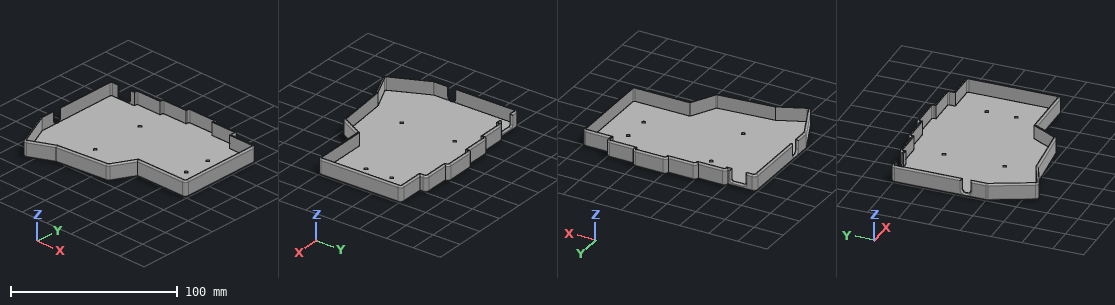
import cadquery as cq
import math

HEIGHT = 11.1
FLOOR = 2.0
WALL = 1.5
EDGE_RADIUS = 1.0

KEY_PITCH = 19.05
KEY_ROWS = 3
COLUMN_STEPS = [0, 1, 2, 3, 2, 0]
STAGGER = KEY_PITCH / 8
CASE_MARGIN = 2.505
CAVITY_MARGIN = CASE_MARGIN - WALL
BOARD_WIDTH = len(COLUMN_STEPS) * KEY_PITCH
BOARD_BACK = KEY_ROWS * KEY_PITCH

THUMB_TIP_Y = -28.315
THUMB_SIDE_LENGTH = 1.5 * KEY_PITCH
THUMB_ANGLE = math.radians(24.1)
THUMB_MIDDLE_ANGLE = math.radians(5.9)
THUMB_ROOT_X = 76.0

HOLE_DIAMETER = 2.2
LEFT_HOLE_X = 2 * KEY_PITCH
LEFT_HOLE_Y = STAGGER
LEFT_HOLE_SPACING = 39.29
RIGHT_HOLE_X = 97.2
RIGHT_HOLE_Y = KEY_PITCH
RIGHT_HOLE_SPACING = KEY_PITCH

CABLE_Y = 10.85
CABLE_RADIUS = 2.85
CABLE_AXIS_Z = 4.6

CONNECTOR_X = KEY_PITCH / 2
CONNECTOR_WIDTH = 10.0
CONNECTOR_SILL_Z = FLOOR + 0.8
CONNECTOR_CORNER_RADIUS = 1.1

CUTTER_REACH = 2.0
SLAB_SIDE_MARGIN = 0.5
CUTTER_TOP = HEIGHT + CUTTER_REACH
TOLERANCE = 0.001


def step_along(start, length, angle):
    """Point at the given distance and direction from another point."""
    return (start[0] + length * math.cos(angle), start[1] + length * math.sin(angle))


def board_points():
    """Board corners, counter-clockwise, with the front left corner of the key grid at the origin."""
    thumb_tip = (THUMB_SIDE_LENGTH * math.sin(THUMB_ANGLE), THUMB_TIP_Y)
    thumb_left = step_along(thumb_tip, THUMB_SIDE_LENGTH, THUMB_ANGLE + math.pi / 2)
    thumb_middle = step_along(thumb_tip, KEY_PITCH, THUMB_ANGLE)
    thumb_right = step_along(thumb_middle, 2 * KEY_PITCH, THUMB_MIDDLE_ANGLE)
    points = [thumb_left, thumb_tip, thumb_middle, thumb_right, (THUMB_ROOT_X, 0), (BOARD_WIDTH, 0)]
    for column in reversed(range(len(COLUMN_STEPS))):
        back = BOARD_BACK + COLUMN_STEPS[column] * STAGGER
        points.append(((column + 1) * KEY_PITCH, back))
        points.append((column * KEY_PITCH, back))
    return points


def board_prism(margin, base_z):
    """Upright block up to the rim, with its sides at an even distance around the board."""
    outline = cq.Workplane("XY", origin=(0, 0, base_z)).polyline(board_points()).close()
    return outline.offset2D(margin, "arc").extrude(HEIGHT - base_z)


def shell():
    """Open tray, rounded along the outer top and bottom edges."""
    block = board_prism(CASE_MARGIN, 0).faces("<Z or >Z").edges().fillet(EDGE_RADIUS)
    return block.cut(board_prism(CAVITY_MARGIN, FLOOR))


def screw_holes():
    centers = [
        (LEFT_HOLE_X, LEFT_HOLE_Y),
        (LEFT_HOLE_X, LEFT_HOLE_Y + LEFT_HOLE_SPACING),
        (RIGHT_HOLE_X, RIGHT_HOLE_Y),
        (RIGHT_HOLE_X, RIGHT_HOLE_Y + RIGHT_HOLE_SPACING),
    ]
    return cq.Workplane("XY").pushPoints(centers).circle(HOLE_DIAMETER / 2).extrude(FLOOR)


def notch_cutter(wall_face, half_width, profile):
    """Cutter for a notch whose outer edge is rounded.

    The profile lies on the outer wall face and is pushed inward through the wall. A slab
    outside the wall, blended into it, flares the notch out to the wall face.
    """
    slab_half_width = half_width + EDGE_RADIUS + SLAB_SIDE_MARGIN
    slab = (
        cq.Workplane(wall_face)
        .moveTo(-slab_half_width, -CUTTER_REACH)
        .lineTo(slab_half_width, -CUTTER_REACH)
        .lineTo(slab_half_width, CUTTER_TOP)
        .lineTo(-slab_half_width, CUTTER_TOP)
        .close()
        .extrude(-CUTTER_REACH)
    )

    def joins_profile(edge):
        center = wall_face.toLocalCoords(edge.Center())
        on_wall_face = abs(center.z) < TOLERANCE
        return on_wall_face and center.y > 0 and abs(center.x) < half_width + TOLERANCE

    cutter = slab.union(profile.extrude(WALL))
    return cutter.edges().filter(joins_profile).fillet(EDGE_RADIUS)


def cable_notch():
    wall_face = cq.Plane((-CASE_MARGIN, CABLE_Y, 0), xDir=(0, 1, 0), normal=(1, 0, 0))
    profile = (
        cq.Workplane(wall_face)
        .moveTo(-CABLE_RADIUS, CUTTER_TOP)
        .lineTo(-CABLE_RADIUS, CABLE_AXIS_Z)
        .threePointArc((0, CABLE_AXIS_Z - CABLE_RADIUS), (CABLE_RADIUS, CABLE_AXIS_Z))
        .lineTo(CABLE_RADIUS, CUTTER_TOP)
        .close()
    )
    return notch_cutter(wall_face, CABLE_RADIUS, profile)


def connector_notch():
    back_face_y = BOARD_BACK + CASE_MARGIN
    wall_face = cq.Plane((CONNECTOR_X, back_face_y, 0), xDir=(1, 0, 0), normal=(0, -1, 0))
    half_width = CONNECTOR_WIDTH / 2
    flat_half_width = half_width - CONNECTOR_CORNER_RADIUS
    corner_top_z = CONNECTOR_SILL_Z + CONNECTOR_CORNER_RADIUS
    profile = (
        cq.Workplane(wall_face)
        .moveTo(-half_width, CUTTER_TOP)
        .lineTo(-half_width, corner_top_z)
        .radiusArc((-flat_half_width, CONNECTOR_SILL_Z), -CONNECTOR_CORNER_RADIUS)
        .lineTo(flat_half_width, CONNECTOR_SILL_Z)
        .radiusArc((half_width, corner_top_z), -CONNECTOR_CORNER_RADIUS)
        .lineTo(half_width, CUTTER_TOP)
        .close()
    )
    return notch_cutter(wall_face, half_width, profile)


result = shell().cut(screw_holes()).cut(cable_notch()).cut(connector_notch())